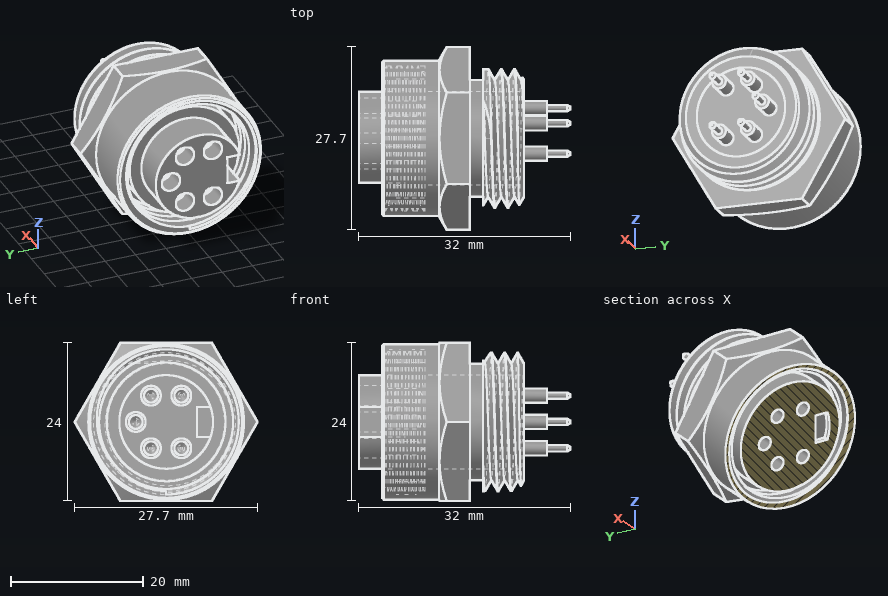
import cadquery as cq
import math

RIM_X = 3.5
INSERT_SHOULDER_X = 5.6
BORE_FLOOR_X = 10.0
HEX_FRONT_X = 12.1
HEX_REAR_X = 16.8
REAR_THREAD_X = 18.8
HOUSING_REAR_X = 25.0
COLLAR_END_X = 28.5
PIN_END_X = 32.0

BARREL_RADIUS = 11.8
RIM_CHAMFER = 0.3
HEX_ACROSS_FLATS = 24.0
HEX_CHAMFER_ANGLE = 30.0
NECK_RADIUS = 8.85
REAR_THREAD_RADIUS = 10.5
REAR_THREAD_PITCH = 2.0
REAR_ROOT_X = 19.05
SOCKET_RADIUS = 11.0
SOCKET_CREST_RADIUS = 10.15
SOCKET_PITCH = 1.6
SOCKET_CREST_X = 3.3
HALF_FLANK_ANGLE = 30.0

NOSE_RADIUS = 7.1
FLANGE_RADIUS = 9.0
KEY_WIDTH = 4.5
KEY_FLOOR_Y = -4.65
KEY_LENGTH = 7.0
CONTACT_CIRCLE_RADIUS = 4.6
CONTACT_ANGLES = [0, 60, 120, 240, 300]
SOCKET_HOLE_RADIUS = 1.5
SOCKET_HOLE_DEPTH = 3.5
CONTACT_BORE_RADIUS = 1.05
CONTACT_BORE_END_X = 9.0
DRILL_POINT_ANGLE = 118.0
COLLAR_RADIUS = 1.1
PIN_RADIUS = 0.5
PIN_TIP_RADIUS = 0.2
PIN_TIP_LENGTH = 0.5

GROOVE_OVERRUN = 0.04
OVERLAP = 0.2

FLANK_SLOPE = math.tan(math.radians(HALF_FLANK_ANGLE))
HEX_CORNER_RADIUS = HEX_ACROSS_FLATS / math.sqrt(3)


def cylinder(start_x, end_x, radius):
    """Cylinder on the X axis."""
    return cq.Workplane("YZ", origin=(start_x, 0, 0)).circle(radius).extrude(end_x - start_x)


def revolved(points):
    """Solid of revolution about the X axis from (x, radius) points."""
    return cq.Workplane("XY").polyline(points).close().revolve(360, (0, 0, 0), (1, 0, 0))


def thread_sweep(profile, radius, pitch, length, start_x):
    """Sweep a (radius, axial) profile along a right-handed helix about X that starts at -Z."""
    helix = cq.Workplane(cq.Wire.makeHelix(pitch, length, radius))
    thread = cq.Workplane("XZ").polyline(profile).close().sweep(helix, isFrenet=True)
    return thread.rotate((0, 0, 0), (0, 1, 0), 90).translate((start_x, 0, 0))


def barrel():
    return cylinder(RIM_X, HEX_FRONT_X, BARREL_RADIUS).faces("<X").chamfer(RIM_CHAMFER)


def hex_flange():
    """Hexagon with corners at +Y and -Y, its front corners turned to a cone."""
    length = HEX_REAR_X - HEX_FRONT_X
    hexagon = (
        cq.Workplane("YZ", origin=(HEX_FRONT_X, 0, 0))
        .polygon(6, 2 * HEX_CORNER_RADIUS)
        .extrude(length)
    )
    cone_end_radius = BARREL_RADIUS + length / math.tan(math.radians(HEX_CHAMFER_ANGLE))
    cone = revolved([
        (HEX_FRONT_X, 0),
        (HEX_FRONT_X, BARREL_RADIUS),
        (HEX_REAR_X, cone_end_radius),
        (HEX_REAR_X, 0),
    ])
    return hexagon.intersect(cone)


def rear_thread():
    """Cylinder with a helical V groove that runs in along a straight tangent, and a tapered end."""
    depth = REAR_THREAD_RADIUS - NECK_RADIUS
    blank = cylinder(REAR_THREAD_X, HOUSING_REAR_X, REAR_THREAD_RADIUS)
    half_width = (depth + GROOVE_OVERRUN) * FLANK_SLOPE
    outer_radius = REAR_THREAD_RADIUS + GROOVE_OVERRUN
    profile = [
        (NECK_RADIUS, 0),
        (outer_radius, half_width),
        (outer_radius, -half_width),
    ]
    groove_length = HOUSING_REAR_X - REAR_ROOT_X + REAR_THREAD_PITCH / 2
    groove = thread_sweep(profile, NECK_RADIUS, REAR_THREAD_PITCH, groove_length, REAR_ROOT_X)
    groove = groove.rotate((0, 0, 0), (1, 0, 0), 180)

    run_in_length = REAR_THREAD_RADIUS
    helix_slope = REAR_THREAD_PITCH / (2 * math.pi * NECK_RADIUS)
    run_in_profile = cq.Wire.makePolygon(
        [cq.Vector(REAR_ROOT_X + axial, 0, radius) for radius, axial in profile], close=True
    )
    run_in_direction = cq.Vector(-helix_slope * run_in_length, run_in_length, 0)
    run_in = cq.Solid.extrudeLinear(run_in_profile, [], run_in_direction)

    taper_start_x = HOUSING_REAR_X - depth * FLANK_SLOPE
    taper_waste = revolved([
        (HOUSING_REAR_X, NECK_RADIUS),
        (taper_start_x, REAR_THREAD_RADIUS),
        (taper_start_x, REAR_THREAD_RADIUS + OVERLAP),
        (HOUSING_REAR_X + OVERLAP, REAR_THREAD_RADIUS + OVERLAP),
        (HOUSING_REAR_X + OVERLAP, NECK_RADIUS),
    ])
    return blank.cut(groove).cut(taper_waste).cut(cq.Workplane(run_in))


def socket_ridge():
    """Internal thread ridge of the socket, trimmed to the rim and the socket floor."""
    half_width = (SOCKET_RADIUS + OVERLAP - SOCKET_CREST_RADIUS) * FLANK_SLOPE
    profile = [
        (SOCKET_CREST_RADIUS, 0),
        (SOCKET_RADIUS + OVERLAP, half_width),
        (SOCKET_RADIUS + OVERLAP, -half_width),
    ]
    length = BORE_FLOOR_X - SOCKET_CREST_X
    ridge = thread_sweep(profile, SOCKET_RADIUS, SOCKET_PITCH, length, SOCKET_CREST_X)
    return ridge.intersect(cylinder(RIM_X, BORE_FLOOR_X + OVERLAP, BARREL_RADIUS))


def make_housing():
    neck = cylinder(HEX_REAR_X, REAR_THREAD_X, NECK_RADIUS)
    body = barrel().union(hex_flange()).union(neck).union(rear_thread())
    body = body.cut(cylinder(RIM_X, BORE_FLOOR_X, SOCKET_RADIUS))
    body = body.cut(cylinder(BORE_FLOOR_X, HOUSING_REAR_X, NOSE_RADIUS))
    return body.union(socket_ridge())


def contact_cavity():
    """Socket hole with a smaller drilled contact bore behind it."""
    point_length = CONTACT_BORE_RADIUS / math.tan(math.radians(DRILL_POINT_ANGLE / 2))
    return revolved([
        (0, 0),
        (0, SOCKET_HOLE_RADIUS),
        (SOCKET_HOLE_DEPTH, SOCKET_HOLE_RADIUS),
        (SOCKET_HOLE_DEPTH, CONTACT_BORE_RADIUS),
        (CONTACT_BORE_END_X, CONTACT_BORE_RADIUS),
        (CONTACT_BORE_END_X + point_length, 0),
    ])


def contact_pin():
    """Solder pin with a thicker collar and a tapered tip."""
    return revolved([
        (HOUSING_REAR_X - OVERLAP, 0),
        (HOUSING_REAR_X - OVERLAP, COLLAR_RADIUS),
        (COLLAR_END_X, COLLAR_RADIUS),
        (COLLAR_END_X, PIN_RADIUS),
        (PIN_END_X - PIN_TIP_LENGTH, PIN_RADIUS),
        (PIN_END_X, PIN_TIP_RADIUS),
        (PIN_END_X, 0),
    ])


def key_slot():
    """Slot along the -Y side of the nose, bounded by the nose radius where it enters the flange."""
    depth = NOSE_RADIUS + KEY_FLOOR_Y
    slot = cq.Workplane("XY").box(KEY_LENGTH, depth, KEY_WIDTH, centered=(False, False, True))
    slot = slot.translate((0, -NOSE_RADIUS, 0))
    return slot.intersect(cylinder(0, KEY_LENGTH, NOSE_RADIUS))


def make_insert():
    body = cylinder(0, HOUSING_REAR_X, NOSE_RADIUS)
    body = body.union(cylinder(INSERT_SHOULDER_X, BORE_FLOOR_X, FLANGE_RADIUS))
    body = body.cut(key_slot())
    for angle in CONTACT_ANGLES:
        y = CONTACT_CIRCLE_RADIUS * math.cos(math.radians(angle))
        z = CONTACT_CIRCLE_RADIUS * math.sin(math.radians(angle))
        body = body.cut(contact_cavity().translate((0, y, z)))
        body = body.union(contact_pin().translate((0, y, z)))
    return body


housing = make_housing().solids()
insert = make_insert().solids()

result = cq.Compound.makeCompound([housing.val(), insert.val()])